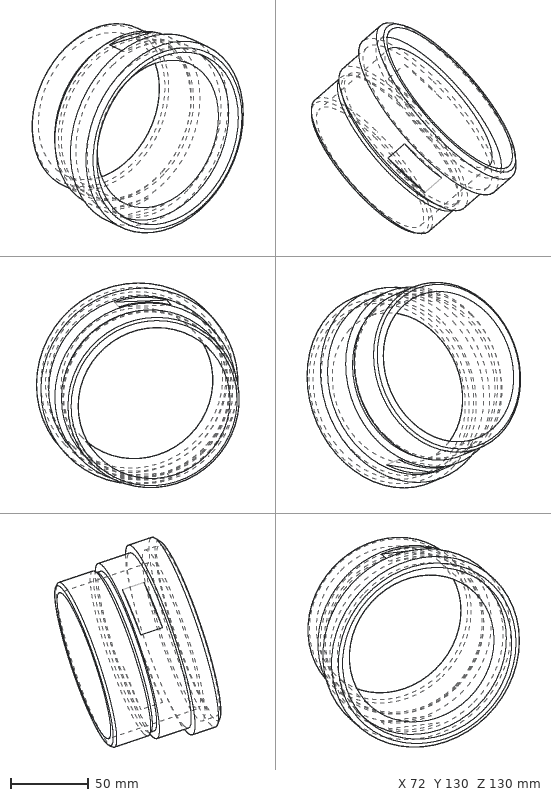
import cadquery as cq

length = 72.0
spigot_end = 27.0
shoulder_start = 30.0
flat_start = 33.0
flat_length = 15.0
collar_start = 52.0
collar_back_taper = 0.8
collar_chamfer_length = 3.0

bore_diameter = 100.0
mouth_diameter = 117.0
relief_diameter = 109.5
spigot_diameter = 113.0
shoulder_diameter = 120.0
collar_diameter = 130.0
collar_end_diameter = 123.0

mouth_depth = 10.0
flat_height = 57.5
spigot_chamfer = (spigot_diameter - relief_diameter) / 2


def make_body():
    """Revolve the stepped outer profile about the X axis."""
    relief_radius = relief_diameter / 2
    spigot_radius = spigot_diameter / 2
    shoulder_radius = shoulder_diameter / 2
    collar_radius = collar_diameter / 2
    profile = [
        (0, 0),
        (0, relief_radius),
        (spigot_chamfer, spigot_radius),
        (spigot_end - spigot_chamfer, spigot_radius),
        (spigot_end, relief_radius),
        (shoulder_start, relief_radius),
        (shoulder_start, shoulder_radius),
        (collar_start, shoulder_radius),
        (collar_start + collar_back_taper, collar_radius),
        (length - collar_chamfer_length, collar_radius),
        (length, collar_end_diameter / 2),
        (length, 0),
    ]
    return cq.Workplane("XY").polyline(profile).close().revolve(360, (0, 0, 0), (1, 0, 0))


def make_bore():
    """Through bore that steps out to a wider mouth at the collar end."""
    bore_radius = bore_diameter / 2
    mouth_start = length - mouth_depth
    profile = [
        (0, 0),
        (0, bore_radius),
        (mouth_start, bore_radius),
        (mouth_start, mouth_diameter / 2),
        (length, mouth_diameter / 2),
        (length, 0),
    ]
    return cq.Workplane("XY").polyline(profile).close().revolve(360, (0, 0, 0), (1, 0, 0))


def make_flat_cutter(side):
    """Block that mills one wrench flat above (+1) or below (-1) the axis."""
    cutter_height = collar_diameter / 2 - flat_height
    return (
        cq.Workplane("XY")
        .box(flat_length, collar_diameter, cutter_height)
        .translate((flat_start + flat_length / 2, 0, side * (flat_height + cutter_height / 2)))
    )


result = make_body().cut(make_bore())
for side in (1, -1):
    result = result.cut(make_flat_cutter(side))

result = result.translate((-length / 2, 0, 0))